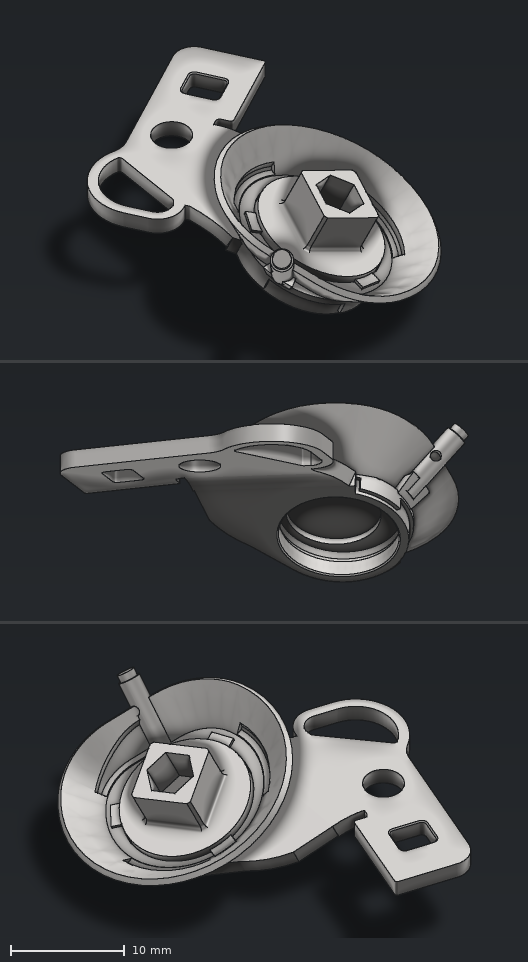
import cadquery as cq
import math

PLATE_THICK = 1.6
ARM_LEFT, ARM_RIGHT, ARM_TOP = -3.48, 4.5, 12.45
ARM_BIG_RADIUS, ARM_SMALL_RADIUS = 2.0, 0.25
NOTCH_LEFT, NOTCH_TOP = 3.03, 3.48
NOTCH_RADIUS = 0.4
ROUND_HOLE_DIA = 3.67
WINDOW_X, WINDOW_Y = 0.5, 7.4
WINDOW_WIDTH, WINDOW_HEIGHT, WINDOW_RADIUS = 3.48, 2.9, 0.45
WINDOW_CHAMFER = 0.13

LOOP_X, LOOP_Y, LOOP_RADIUS = -0.45, -6.9, 4.77
LOOP_END_X, LOOP_END_RADIUS = 1.87, 2.45
LOOP_BAND = 1.0
LOOP_SLOT_HIGH = (-9.2, -4.38)
LOOP_SLOT_LOW = (3.1, -8.5)
LOOP_SLOT_RADIUS = 0.32
BLEND_RADIUS = 2.4

NECK_TOP_Y = 2.58
NECK_LOW_START = (4.77, -8.9)
NECK_RADIUS = 0.32
STRIP_REACH = 22.55

BEND_HEADING = 13.6
TILT = 23.5
BEND_RADIUS = 7.6
BEND_START = 3.6
BEND_TOP_SIDE, BEND_LOW_SIDE = 1.2, -13.02
BEND_TO_CUP = 6.9
CUP_SIDE = -10.83

RING_RADIUS, RING_HOLE_RADIUS, RING_HOLE_CHAMFER = 6.2, 5.32, 0.13
SHOULDER_START = (-2.87, 11.15)
SHOULDER_MID = (-1.25, 10.1)
SHOULDER_END = (0.87, 7.9)
RING_TANGENT_ANGLE, RING_END_ANGLE = 45, -160

RIM_RADIUS = 10.9
RIM_HEIGHT = 4.65
WALL_THICK = 0.6
FLAT_DISTANCE, FLAT_LENGTH = 9.55, 4.65
FLAT_HEADING = 255
FLOOR_HEIGHT = 1.93
FOOT_RADIUS, FOOT_HEIGHT = 6.55, 0.58
BORE_RADIUS, BORE_TAPER_HEIGHT = 5.48, 0.45
SKIRT_DROP = 1.22
SKIRT_SPANS = [(-157, -118), (-50, 42)]
SEAT_CLEARANCE = 0.05
POCKET_RADIUS, POCKET_HEIGHT, POCKET_SKIN = 8.2, 2.0, 0.3
POCKET_SPAN, POCKET_FIRST = 60, 38

HUB_A, HUB_B = 0.2, 0.6
DISC_RADIUS = 6.1
DISC_BOTTOM, DISC_TOP = 1.25, 2.65
DISC_RECESS_RADIUS, DISC_RECESS_DEPTH = 4.2, 0.65
LUG_RADIUS, LUG_WIDTH, LUG_TOP, LUG_FIRST = 7.03, 2.3, 2.2, 81
SQUARE_SIDE, SQUARE_HEIGHT, SQUARE_TURN = 5.77, 4.13, 30.5
SQUARE_CHAMFER, SQUARE_FILLET = 0.25, 0.48
HEX_DIA, HEX_DEPTH = 4.58, 3.87

PIN_RADIUS, PIN_TIP_RADIUS, PIN_TIP_LENGTH = 1.03, 0.85, 0.7
PIN_HEADING = 249
PIN_AXIS_FOOT = 5.03
PIN_START, PIN_SHOULDER = 6.38, 11.2
CROSS_HOLE_RADIUS, CROSS_HOLE_AT, CROSS_HOLE_TURN = 0.48, 9.28, 40
BOSS_TOP, BOSS_SPAN = 1.93, 22

REPEATS = 3

tilt = math.radians(TILT)
heading = math.radians(BEND_HEADING)
BEND_END = BEND_START + BEND_RADIUS * math.sin(tilt)
BEND_DROP = BEND_RADIUS * (1 - math.cos(tilt))
cup_along = BEND_END + BEND_TO_CUP * math.cos(tilt)
cup_height = PLATE_THICK - BEND_DROP - BEND_TO_CUP * math.sin(tilt)


def flat_point(along, side):
    """XY position from the distance along the bend heading and the distance to its left."""
    x = along * math.cos(heading) - side * math.sin(heading)
    y = along * math.sin(heading) + side * math.cos(heading)
    return x, y


CUP_PLANE = cq.Plane(
    origin=(*flat_point(cup_along, CUP_SIDE), cup_height),
    xDir=(math.cos(tilt) * math.cos(heading), math.cos(tilt) * math.sin(heading), -math.sin(tilt)),
    normal=(math.sin(tilt) * math.cos(heading), math.sin(tilt) * math.sin(heading), math.cos(tilt)),
)


def cup_frame(height=0.0, a=0.0, b=0.0):
    """Workplane square to the cup axis."""
    return cq.Workplane("XY", origin=(a, b, height))


def placed(body):
    """The body moved from the cup frame to its place on the plate."""
    return cq.Workplane(body.solids().val().moved(cq.Location(CUP_PLANE)))


def polar(radius, degrees):
    angle = math.radians(degrees)
    return radius * math.cos(angle), radius * math.sin(angle)


def sector(inner, outer, start, end, bottom, top):
    """Part of a ring about the cup axis."""
    middle = (start + end) / 2
    return (
        cup_frame(bottom)
        .moveTo(*polar(inner, start))
        .lineTo(*polar(outer, start))
        .threePointArc(polar(outer, middle), polar(outer, end))
        .lineTo(*polar(inner, end))
        .threePointArc(polar(inner, middle), polar(inner, start))
        .close()
        .extrude(top - bottom)
    )


def bent_strip():
    """Wide strip with the thickness and bend of the plate, ending where the bend ends."""
    lower_radius = BEND_RADIUS - PLATE_THICK
    centre_z = PLATE_THICK - BEND_RADIUS

    def on_bend(radius, angle):
        return BEND_START + radius * math.sin(angle), centre_z + radius * math.cos(angle)

    strip_plane = cq.Plane(
        origin=(0, 0, 0),
        xDir=(math.cos(heading), math.sin(heading), 0),
        normal=(math.sin(heading), -math.cos(heading), 0),
    )
    return (
        cq.Workplane(strip_plane)
        .moveTo(-STRIP_REACH, PLATE_THICK)
        .lineTo(*on_bend(BEND_RADIUS, 0))
        .threePointArc(on_bend(BEND_RADIUS, tilt / 2), on_bend(BEND_RADIUS, tilt))
        .lineTo(*on_bend(lower_radius, tilt))
        .threePointArc(on_bend(lower_radius, tilt / 2), on_bend(lower_radius, 0))
        .lineTo(-STRIP_REACH, 0)
        .close()
        .extrude(STRIP_REACH, both=True)
    )


def bend_start_corners():
    """Upper and lower ends of the line where the bend starts."""
    top_side = (NECK_TOP_Y - BEND_START * math.sin(heading)) / math.cos(heading)
    low_x, low_y = flat_point(BEND_END, BEND_LOW_SIDE)
    start_x, start_y = NECK_LOW_START
    start_along = start_x * math.cos(heading) + start_y * math.sin(heading)
    part = (BEND_START - start_along) / (BEND_END - start_along)
    low_corner = (start_x + part * (low_x - start_x), start_y + part * (low_y - start_y))
    return flat_point(BEND_START, top_side), low_corner


def neck():
    """Bent part of the plate."""
    top_corner, low_corner = bend_start_corners()
    outline = (
        cq.Workplane("XY")
        .moveTo(*top_corner)
        .lineTo(*low_corner)
        .lineTo(*flat_point(BEND_END, BEND_LOW_SIDE))
        .lineTo(*flat_point(BEND_END, BEND_TOP_SIDE))
        .close()
        .extrude(PLATE_THICK + BEND_DROP, both=True)
    )
    return outline.intersect(bent_strip())


def arm():
    """Flat part of the plate, with the loop at its lower end."""
    top_corner, low_corner = bend_start_corners()
    blend_x = ARM_LEFT - BLEND_RADIUS
    blend_rise = math.sqrt((LOOP_RADIUS + BLEND_RADIUS) ** 2 - (LOOP_X - blend_x) ** 2)
    blend_y = LOOP_Y + blend_rise
    to_loop = math.atan2(-blend_rise, LOOP_X - blend_x)
    bottom = LOOP_Y - LOOP_RADIUS
    end_y = bottom + LOOP_END_RADIUS

    def on_blend(angle):
        return blend_x + BLEND_RADIUS * math.cos(angle), blend_y + BLEND_RADIUS * math.sin(angle)

    corner_x, corner_y = LOOP_END_X + LOOP_END_RADIUS, NECK_LOW_START[1]
    diagonal = math.sqrt(0.5)
    outline = (
        cq.Workplane("XY")
        .moveTo(NOTCH_LEFT, NECK_TOP_Y)
        .lineTo(NOTCH_LEFT, NOTCH_TOP)
        .lineTo(ARM_RIGHT, NOTCH_TOP)
        .lineTo(ARM_RIGHT, ARM_TOP)
        .lineTo(ARM_LEFT, ARM_TOP)
        .lineTo(ARM_LEFT, blend_y)
        .threePointArc(on_blend(to_loop / 2), on_blend(to_loop))
        .threePointArc((LOOP_X - LOOP_RADIUS, LOOP_Y), (LOOP_X, bottom))
        .lineTo(LOOP_END_X, bottom)
        .threePointArc(
            (LOOP_END_X + LOOP_END_RADIUS * diagonal, end_y - LOOP_END_RADIUS * diagonal),
            (corner_x, end_y),
        )
        .lineTo(corner_x, corner_y)
        .lineTo(*NECK_LOW_START)
        .lineTo(*low_corner)
        .lineTo(*top_corner)
        .close()
        .extrude(PLATE_THICK)
    )
    rounds = [
        (ARM_LEFT, ARM_TOP, ARM_BIG_RADIUS),
        (ARM_RIGHT, ARM_TOP, ARM_SMALL_RADIUS),
        (ARM_RIGHT, NOTCH_TOP, ARM_SMALL_RADIUS),
        (NOTCH_LEFT, NOTCH_TOP, NOTCH_RADIUS),
        (*NECK_LOW_START, NECK_RADIUS),
    ]
    for x, y, radius in rounds:
        outline = outline.edges(cq.selectors.NearestToPointSelector((x, y, PLATE_THICK / 2))).fillet(radius)
    return outline


def loop_slot():
    """Opening of the loop: the band follows the loop, a straight chord closes it."""
    inner = LOOP_RADIUS - LOOP_BAND
    end_inner = LOOP_END_RADIUS - LOOP_BAND
    bottom = LOOP_Y - inner
    end_y = bottom + end_inner
    high_x, high_y = LOOP_SLOT_HIGH
    high_side = -math.sqrt(inner**2 - (high_y - LOOP_Y) ** 2)
    slot = (
        cq.Workplane("XY")
        .moveTo(LOOP_X + high_side, high_y)
        .threePointArc((LOOP_X - inner * math.sqrt(0.5), LOOP_Y - inner * math.sqrt(0.5)), (LOOP_X, bottom))
        .lineTo(LOOP_END_X, bottom)
        .threePointArc(
            (LOOP_END_X + end_inner * math.sqrt(0.5), end_y - end_inner * math.sqrt(0.5)),
            (LOOP_END_X + end_inner, end_y),
        )
        .lineTo(*LOOP_SLOT_LOW)
        .close()
        .extrude(PLATE_THICK)
    )
    for x, y in [(LOOP_X + high_side, high_y), LOOP_SLOT_LOW]:
        middle = (x, y, PLATE_THICK / 2)
        slot = slot.edges(cq.selectors.NearestToPointSelector(middle)).fillet(LOOP_SLOT_RADIUS)
    return slot


def arm_window():
    """Rectangular opening near the top of the arm."""
    return (
        cq.Workplane("XY")
        .center(WINDOW_X, WINDOW_Y)
        .rect(WINDOW_WIDTH, WINDOW_HEIGHT)
        .extrude(PLATE_THICK)
        .edges("|Z")
        .fillet(WINDOW_RADIUS)
    )


def ring():
    """Tilted part of the plate around the cup axis."""
    ring_middle = (RING_TANGENT_ANGLE + RING_END_ANGLE) / 2
    hole = cup_frame(-PLATE_THICK).circle(RING_HOLE_RADIUS).extrude(PLATE_THICK)
    return (
        cup_frame(-PLATE_THICK)
        .moveTo(-BEND_TO_CUP, BEND_TOP_SIDE - CUP_SIDE)
        .lineTo(*SHOULDER_START)
        .threePointArc(SHOULDER_MID, SHOULDER_END)
        .lineTo(*polar(RING_RADIUS, RING_TANGENT_ANGLE))
        .threePointArc(polar(RING_RADIUS, ring_middle), polar(RING_RADIUS, RING_END_ANGLE))
        .lineTo(-BEND_TO_CUP, BEND_LOW_SIDE - CUP_SIDE)
        .close()
        .extrude(PLATE_THICK)
        .cut(hole)
        .faces("<Z")
        .edges("%CIRCLE")
        .edges(cq.selectors.RadiusNthSelector(0))
        .chamfer(RING_HOLE_CHAMFER)
    )


def build_plate():
    round_hole = cq.Workplane("XY").circle(ROUND_HOLE_DIA / 2).extrude(PLATE_THICK)
    body = arm().union(neck()).union(placed(ring()))
    body = body.cut(round_hole).cut(arm_window()).cut(loop_slot())
    half_x = WINDOW_WIDTH / 2 + WINDOW_CHAMFER
    half_y = WINDOW_HEIGHT / 2 + WINDOW_CHAMFER
    window_rim = cq.selectors.BoxSelector(
        (WINDOW_X - half_x, WINDOW_Y - half_y, PLATE_THICK - WINDOW_CHAMFER),
        (WINDOW_X + half_x, WINDOW_Y + half_y, PLATE_THICK + WINDOW_CHAMFER),
    )
    return body.edges(window_rim).chamfer(WINDOW_CHAMFER).solids()


def pin_axis_workplane(radius):
    """Workplane square to the pin axis, where the axis is at the given radius from the cup axis."""
    a, b = polar(radius, PIN_HEADING)
    out_a, out_b = polar(1, PIN_HEADING)
    pin_plane = cq.Plane(
        origin=(a, b, radius - PIN_AXIS_FOOT), xDir=(-out_b, out_a, 0), normal=(out_a, out_b, 1)
    )
    return cq.Workplane(pin_plane)


def build_pin():
    length = (PIN_SHOULDER - PIN_START) * math.sqrt(2)
    pin = pin_axis_workplane(PIN_START).circle(PIN_RADIUS).extrude(length)
    tip = pin_axis_workplane(PIN_SHOULDER).circle(PIN_TIP_RADIUS).extrude(PIN_TIP_LENGTH)
    hole = (
        pin_axis_workplane(CROSS_HOLE_AT)
        .transformed(rotate=(0, 0, CROSS_HOLE_TURN))
        .transformed(rotate=(0, 90, 0))
        .circle(CROSS_HOLE_RADIUS)
        .extrude(2 * PIN_RADIUS, both=True)
    )
    return pin.union(tip).cut(hole)


def lug(index, top):
    """Block from the hub axis to the end of one of the disc's lugs."""
    return (
        cup_frame(DISC_BOTTOM, HUB_A, HUB_B)
        .transformed(rotate=(0, 0, LUG_FIRST + index * 360 / REPEATS))
        .center(LUG_RADIUS / 2, 0)
        .rect(LUG_RADIUS, LUG_WIDTH)
        .extrude(top - DISC_BOTTOM)
    )


def build_hub():
    disc = cup_frame(DISC_BOTTOM, HUB_A, HUB_B).circle(DISC_RADIUS).extrude(DISC_TOP - DISC_BOTTOM)
    square = (
        cup_frame(DISC_TOP, HUB_A, HUB_B)
        .transformed(rotate=(0, 0, SQUARE_TURN))
        .rect(SQUARE_SIDE, SQUARE_SIDE)
        .extrude(SQUARE_HEIGHT)
        .edges("|Z")
        .chamfer(SQUARE_CHAMFER)
    )
    hexagon = (
        cup_frame(DISC_TOP + SQUARE_HEIGHT - HEX_DEPTH, HUB_A, HUB_B).polygon(6, HEX_DIA).extrude(HEX_DEPTH)
    )
    recess = cup_frame(DISC_BOTTOM, HUB_A, HUB_B).circle(DISC_RECESS_RADIUS).extrude(DISC_RECESS_DEPTH)
    hub = disc.union(square)
    square_foot = cq.selectors.BoxSelector(
        (HUB_A - SQUARE_SIDE, HUB_B - SQUARE_SIDE, DISC_TOP - SQUARE_FILLET),
        (HUB_A + SQUARE_SIDE, HUB_B + SQUARE_SIDE, DISC_TOP + SQUARE_FILLET),
        boundingbox=True,
    )
    hub = hub.edges(square_foot).fillet(SQUARE_FILLET)
    for index in range(REPEATS):
        hub = hub.union(lug(index, LUG_TOP))
    return hub.cut(hexagon).cut(recess)


def rim_outline(height, inset=0.0):
    """Round outline with one flat; arcs tangent to both blend the flat into the round."""
    half = FLAT_LENGTH / 2
    blend = (RIM_RADIUS**2 - FLAT_DISTANCE**2 - half**2) / (2 * (RIM_RADIUS - FLAT_DISTANCE))
    reach = math.degrees(math.atan2(half, FLAT_DISTANCE - blend))

    def on_blend(side, degrees):
        across, out = side * half, FLAT_DISTANCE - blend
        angle = math.radians(degrees)
        radius = blend - inset
        return across + side * radius * math.sin(angle), -out - radius * math.cos(angle)

    return (
        cup_frame(height)
        .transformed(rotate=(0, 0, FLAT_HEADING + 90))
        .moveTo(*on_blend(1, reach))
        .threePointArc((0, RIM_RADIUS - inset), on_blend(-1, reach))
        .threePointArc(on_blend(-1, reach / 2), on_blend(-1, 0))
        .lineTo(*on_blend(1, 0))
        .threePointArc(on_blend(1, reach / 2), on_blend(1, reach))
        .close()
    )


def frustum(bottom, top, bottom_inset, top_inset):
    """Solid cone over the rim outline, its inset changing evenly from the bottom to the top."""
    taper = math.degrees(math.atan2(bottom_inset - top_inset, top - bottom))
    return rim_outline(bottom, bottom_inset).extrude(top - bottom, taper=-taper)


def cup_shell():
    """Outer cone with a lip square to the wall, and the hollow above the floor."""
    lip = WALL_THICK * math.sqrt(0.5)
    top = RIM_HEIGHT + lip
    outer = frustum(0, RIM_HEIGHT, RIM_HEIGHT, 0).union(frustum(RIM_HEIGHT, top, 0, lip))
    return outer, frustum(FLOOR_HEIGHT, top, lip + top - FLOOR_HEIGHT, lip)


def pin_boss():
    """Sector of the full round cone that fills out the flat under the pin."""
    base_radius = RIM_RADIUS - RIM_HEIGHT
    round_cone = cq.Workplane(cq.Solid.makeCone(base_radius, base_radius + BOSS_TOP, BOSS_TOP))
    start, end = PIN_HEADING - BOSS_SPAN / 2, PIN_HEADING + BOSS_SPAN / 2
    return round_cone.intersect(sector(BORE_RADIUS, RIM_RADIUS, start, end, 0, BOSS_TOP))


def cup_bore():
    """Hole through the cup bottom, widening from the ring hole."""
    taper = (
        cup_frame()
        .circle(RING_HOLE_RADIUS)
        .workplane(offset=BORE_TAPER_HEIGHT)
        .circle(BORE_RADIUS)
        .loft()
    )
    straight = cup_frame(BORE_TAPER_HEIGHT).circle(BORE_RADIUS).extrude(DISC_BOTTOM - BORE_TAPER_HEIGHT)
    return taper.union(straight)


def pocket(index):
    """Arc-shaped pocket in the wall just above the floor, leaving a thin skin outside."""
    middle = POCKET_FIRST + index * 360 / REPEATS
    start, end = middle - POCKET_SPAN / 2, middle + POCKET_SPAN / 2
    bottom_inset = RIM_HEIGHT - POCKET_HEIGHT + POCKET_SKIN
    limit = frustum(POCKET_HEIGHT, RIM_HEIGHT, bottom_inset, POCKET_SKIN)
    return sector(DISC_RADIUS, POCKET_RADIUS, start, end, POCKET_HEIGHT, RIM_HEIGHT).intersect(limit)


def build_cup():
    outer, inner = cup_shell()
    foot = cup_frame().circle(FOOT_RADIUS).extrude(FOOT_HEIGHT)
    cup = outer.union(foot).union(pin_boss())
    for start, end in SKIRT_SPANS:
        cup = cup.union(sector(RING_RADIUS, FOOT_RADIUS, start, end, -SKIRT_DROP, 0))
    seat = cup_frame(DISC_BOTTOM, HUB_A, HUB_B).circle(DISC_RADIUS + SEAT_CLEARANCE).extrude(RIM_HEIGHT)
    cup = cup.cut(inner).cut(cup_bore()).cut(seat)
    for index in range(REPEATS):
        cup = cup.cut(pocket(index)).cut(lug(index, RIM_HEIGHT))
    return cup.cut(build_pin())


plate = build_plate()
cup = placed(build_cup())
hub = placed(build_hub())
pin = placed(build_pin())
result = cq.Compound.makeCompound([plate.val(), cup.val(), hub.val(), pin.val()])